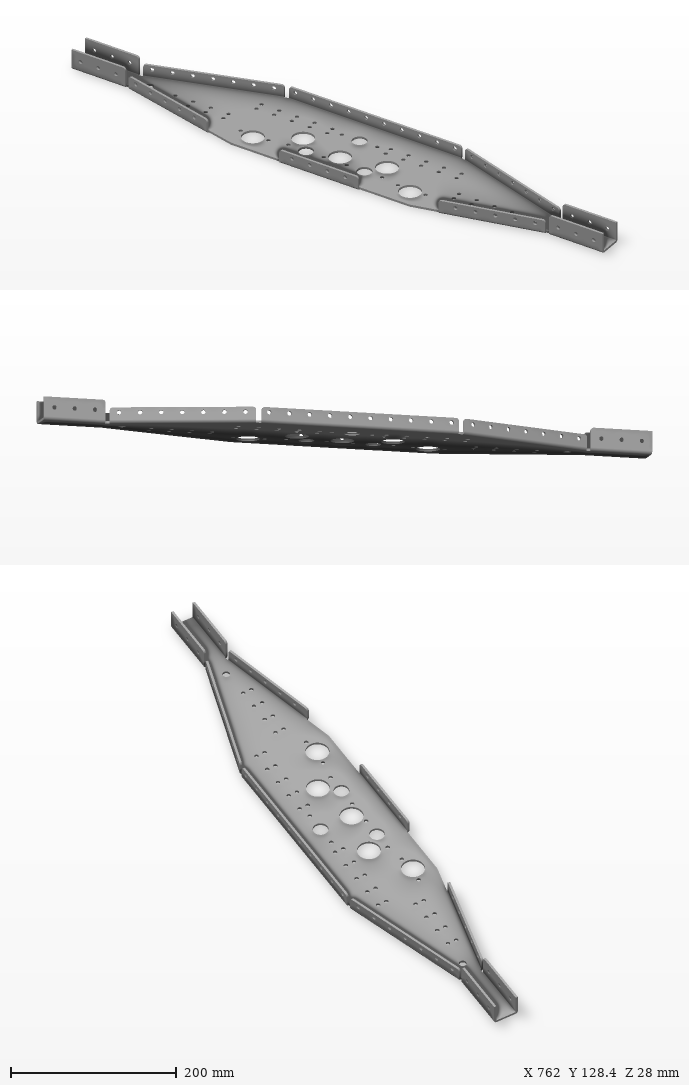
import cadquery as cq
import math


thickness = 3.0
inner_bend = 0.7
outer_bend = thickness + inner_bend
pitch = 76 / 3

half_length = 381
arm_root_x = 301.0
arm_half_width = 13.0
rear_corner_x = 126.5
rear_y = 67.0
front_corner_x = 128.0
front_y = -54.0

arm_height = 28.0
side_height = 19.0
arm_hole_z = 15.0
side_hole_z = 13.0
corner_radius = 4.0
flange_hole = 5.0
corner_gap = 3.0
arm_length = half_length - arm_root_x - corner_gap
first_hole = 13.0
front_flange_length = 113.0
front_slope_length = 136.5

screw_hole = 5.0
arm_hole = 9.0
arm_hole_x = 279.0
gauge_hole = 29.0
gauge_places = [(0, -10.0), (60.0, 1.5)]
lamp_place = (113.0, -29.0)
lamp_screw_dx = 20.0
lamp_screw_dy = 4.0
switch_hole = 19.0
rear_switch = (0, 33.5)
front_switch = (42.0, -20.5)
rear_grid_start = (42.0, 27.0)
rear_grid_columns = 5
side_grid_start = (165.0, -13.0)
side_grid_columns = 4
grid_row_gap = 11.5


def hole_row(count, first):
    """Evenly spaced places starting at the given one."""
    return [first + pitch * i for i in range(count)]


def centred_row(count, middle):
    """Evenly spaced places on both sides of the given one."""
    return hole_row(count, middle - pitch * (count - 1) / 2)


def flange(length, height, hole_z, hole_places, rounded_ends):
    """Flange along +X from the origin, bent up on the -Y side of its bend line."""
    profile = (
        cq.Workplane("YZ")
        .lineTo(0, thickness)
        .radiusArc((-inner_bend, outer_bend), inner_bend)
        .lineTo(-inner_bend, height)
        .lineTo(-outer_bend, height)
        .lineTo(-outer_bend, outer_bend)
        .radiusArc((0, 0), -outer_bend)
        .close()
    )
    body = profile.extrude(length)
    body = body.edges("|Y").edges(">Z").edges(rounded_ends).fillet(corner_radius)
    drills = (
        cq.Workplane("XZ")
        .pushPoints([(x, hole_z) for x in hole_places])
        .circle(flange_hole / 2)
        .extrude(outer_bend)
    )
    return body.cut(drills)


def place(body, start, end, offset):
    """Lay a flange on the plate edge from start to end, beginning at the given offset."""
    angle = math.atan2(end[1] - start[1], end[0] - start[0])
    turned = body.translate((offset, 0, 0)).rotate((0, 0, 0), (0, 0, 1), math.degrees(angle))
    return turned.translate((start[0], start[1], 0))


def both_sides(points):
    """The points and their mirror images across the YZ plane."""
    return points + [(-x, y) for x, y in points if x != 0]


def grid(start, columns):
    """Two rows of screw holes, starting at the innermost hole of the front row."""
    x0, y0 = start
    return [(x, y0 + row * grid_row_gap) for x in hole_row(columns, x0) for row in range(2)]


front_arm_end = (-half_length, -arm_half_width)
front_arm_root = (-arm_root_x, -arm_half_width)
front_corner = (-front_corner_x, front_y)
rear_corner = (-rear_corner_x, rear_y)
rear_arm_root = (-arm_root_x, arm_half_width)
rear_arm_end = (-half_length, arm_half_width)
left_edge = [front_corner, front_arm_root, front_arm_end, rear_arm_end, rear_arm_root, rear_corner]
right_edge = [(-x, y) for x, y in reversed(left_edge)]
plate = cq.Workplane("XY").polyline(left_edge + right_edge).close().extrude(thickness)

rear_slope_length = math.dist(rear_corner, rear_arm_root) - 2 * corner_gap
front_arm_flange = flange(arm_length, arm_height, arm_hole_z, hole_row(3, first_hole), ">X")
rear_arm_flange = flange(
    arm_length, arm_height, arm_hole_z, hole_row(3, arm_length - first_hole - 2 * pitch), "<X"
)
front_slope_flange = flange(
    front_slope_length, side_height, side_hole_z, hole_row(5, first_hole), "<X or >X"
)
rear_slope_flange = flange(
    rear_slope_length, side_height, side_hole_z, hole_row(7, first_hole), "<X or >X"
)
left_flanges = [
    place(front_arm_flange, front_arm_end, front_arm_root, 0),
    place(rear_arm_flange, rear_arm_root, rear_arm_end, corner_gap),
    place(front_slope_flange, front_arm_root, front_corner, corner_gap),
    place(rear_slope_flange, rear_corner, rear_arm_root, corner_gap),
]

rear_length = 2 * (rear_corner_x - corner_gap)
rear_flange = flange(
    rear_length, side_height, side_hole_z, centred_row(10, rear_length / 2), "<X or >X"
)
front_flange = flange(
    front_flange_length, side_height, side_hole_z, centred_row(4, front_flange_length / 2), "<X or >X"
)
middle_flanges = [
    place(rear_flange, (rear_corner_x, rear_y), rear_corner, corner_gap),
    place(front_flange, (-front_flange_length / 2, front_y), (0, front_y), 0),
]

lamp_x, lamp_y = lamp_place
lamp_screws = [(lamp_x + side * lamp_screw_dx, lamp_y + lamp_screw_dy) for side in (-1, 1)]
switch_screws = [
    (rear_switch[0] + pitch, rear_switch[1]),
    (front_switch[0] - pitch, front_switch[1]),
    (front_switch[0] + pitch, front_switch[1]),
]
screws = grid(rear_grid_start, rear_grid_columns) + grid(side_grid_start, side_grid_columns)
screws += lamp_screws + switch_screws
plate_holes = [
    (screw_hole, screws),
    (arm_hole, [(arm_hole_x, 0)]),
    (gauge_hole, gauge_places + [lamp_place]),
    (switch_hole, [rear_switch, front_switch]),
]

result = plate
for body in left_flanges:
    result = result.union(body).union(body.mirror("YZ"))
for body in middle_flanges:
    result = result.union(body)

for diameter, points in plate_holes:
    drills = cq.Workplane("XY").pushPoints(both_sides(points)).circle(diameter / 2).extrude(thickness)
    result = result.cut(drills)